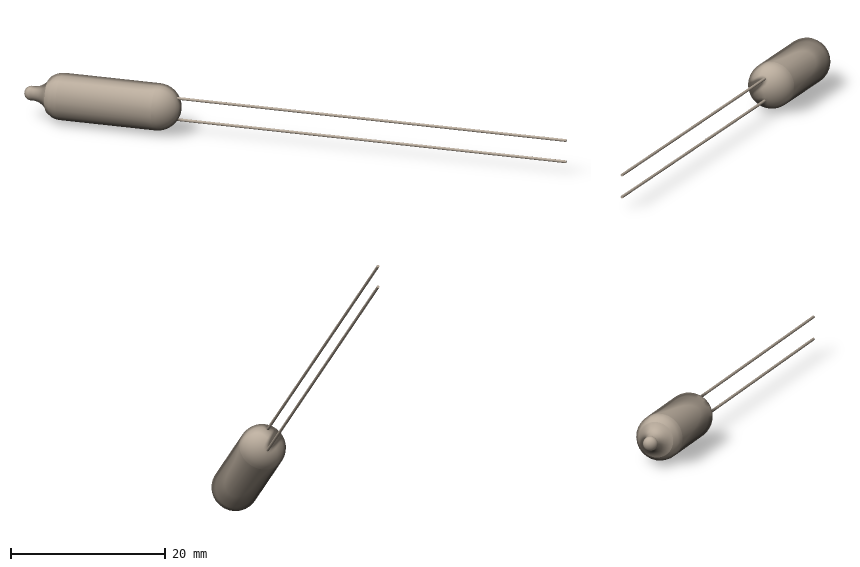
import cadquery as cq
import math

overall_length = 73.65
bulb_radius = 3.1
tip_radius = 0.95
neck_x = 1.2
flare_x = 3.4
shoulder_x = 5.15
dome_x = 18.1
shoulder_radius = 2.5

lead_diameter = 0.4
lead_spacing = 2.95


def make_bulb():
    """Revolve the tip ball, flared neck, shoulder, wall and domed end."""
    neck_radius = math.sqrt(tip_radius**2 - (neck_x - tip_radius) ** 2)
    shoulder_center_r = bulb_radius - shoulder_radius
    flare_angle = math.asin((shoulder_x - flare_x) / shoulder_radius)
    flare_radius = shoulder_center_r + shoulder_radius * math.cos(flare_angle)
    middle_angle = flare_angle / 2
    shoulder_middle = (
        shoulder_x - shoulder_radius * math.sin(middle_angle),
        shoulder_center_r + shoulder_radius * math.cos(middle_angle),
    )
    flare_length = flare_x - neck_x
    flare_rise = flare_radius - neck_radius
    flare_arc_radius = (flare_length**2 + flare_rise**2) / (2 * flare_rise)
    flare_half_sweep = math.atan(flare_rise / flare_length)
    flare_middle = (
        neck_x + flare_arc_radius * math.sin(flare_half_sweep),
        neck_radius + flare_arc_radius * (1 - math.cos(flare_half_sweep)),
    )
    dome_middle = (
        dome_x + bulb_radius * math.sin(math.pi / 4),
        bulb_radius * math.cos(math.pi / 4),
    )
    profile = (
        cq.Workplane("XZ")
        .moveTo(dome_x + bulb_radius, 0)
        .threePointArc(dome_middle, (dome_x, bulb_radius))
        .lineTo(shoulder_x, bulb_radius)
        .threePointArc(shoulder_middle, (flare_x, flare_radius))
        .threePointArc(flare_middle, (neck_x, neck_radius))
        .threePointArc((tip_radius, tip_radius), (0, 0))
        .close()
    )
    return profile.revolve(360, (0, 0, 0), (1, 0, 0))


def make_leads():
    """Two straight round wires rooted inside the domed end."""
    return (
        cq.Workplane("YZ", origin=(dome_x, 0, 0))
        .pushPoints([(0, -lead_spacing / 2), (0, lead_spacing / 2)])
        .circle(lead_diameter / 2)
        .extrude(overall_length - dome_x)
    )


result = make_bulb().union(make_leads())